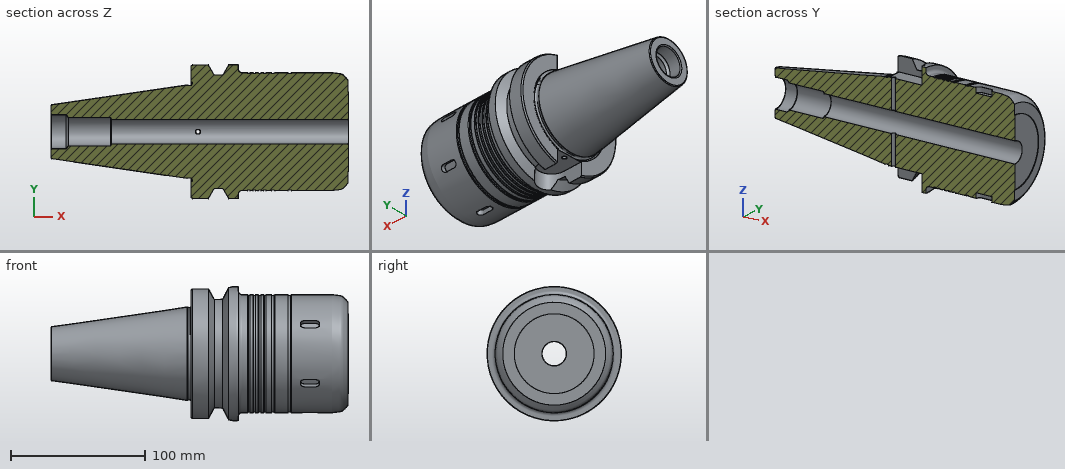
import cadquery as cq
import math

total_length = 221.8
taper_end = 101.5
flange_start = 104.2
flange_end = 139.7
nut_start = 178.5
nose_start = 209.4
nose_face = 221.4

taper_small_radius = 40.1 / 2
taper_rate = 7 / 24
taper_chamfer = 0.7
relief_radius = 69.0 / 2
relief_chamfer = 0.7
relief_fillet = 1.3

flange_radius = 100.0 / 2
flange_chamfer_length = 1.3
flange_chamfer_drop = 0.9
face_recess_radius = 37.0
face_recess_depth = 0.9
front_rim_end = 117.3
rear_rim_start = 132.5
vee_floor_radius = 42.4
vee_angle = 30.0
rear_edge_chamfer = 1.3
rear_edge_drop = 0.2

body_radius = 88.0 / 2
groove_floor_radius = 87.0 / 2
neck_fillet = 2.7
ring_groove_start = 146.4
ring_groove_pitch = 4.0
ring_groove_count = 4
ring_groove_width = 2.0
wide_groove_start = 164.4
wide_groove_width = 2.5
gap_start = 176.8
groove_flank = 0.7

nose_cone_end = 215.1
nose_cone_angle = 7.0
nose_bevel_angle = 45.0
nose_blend_radius = 4.9
nose_bevel_length = 2.0
nose_edge_angle = 50.0
pilot_radius = 29.7

slot_count = 6
slot_center = 193.0
slot_length = 14.5
slot_width = 6.2
slot_depth = 4.5

key_width = 25.7
key_floor = 35.3
key_round_end = 135.7
coolant_position = 109.5
coolant_diameter = 3.3
coolant_mouth_diameter = 4.0

through_radius = 18.0 / 2
thread_radius = 21.0 / 2
thread_mouth_radius = 24.0 / 2
pilot_bore_radius = 25.0 / 2
bore_mouth_length = 0.7
bore_mouth_growth = 1.0
pilot_bore_depth = 11.3
pilot_cone_length = 0.7
thread_chamfer_length = 1.0
thread_depth = 44.4
drill_tip_angle = 60.0


def revolve_about_x(profile):
    """Turn a closed (x, radius) profile around the X axis."""
    return profile.close().revolve(360, (0, 0, 0), (1, 0, 0))


def slope(angle):
    """Rise per unit run of a line at an angle in degrees."""
    return math.tan(math.radians(angle))


def make_shank_and_body():
    vee_run = (flange_radius - vee_floor_radius) * slope(vee_angle)
    taper_end_radius = taper_small_radius + taper_end * taper_rate / 2
    recess_floor = flange_start + face_recess_depth
    diagonal = math.sqrt(0.5)

    nose_cone_radius = body_radius - (nose_cone_end - nose_start) * slope(nose_cone_angle)
    cone = math.radians(nose_cone_angle)
    bevel = math.radians(nose_bevel_angle)
    middle = (cone + bevel) / 2
    blend_x = nose_cone_end - nose_blend_radius * math.sin(cone)
    blend_r = nose_cone_radius - nose_blend_radius * math.cos(cone)

    def blend_point(angle):
        return (
            blend_x + nose_blend_radius * math.sin(angle),
            blend_r + nose_blend_radius * math.cos(angle),
        )

    bevel_x, bevel_r = blend_point(bevel)
    bevel_end = (bevel_x + nose_bevel_length, bevel_r - nose_bevel_length)
    nose_face_radius = bevel_end[1] - (nose_face - bevel_end[0]) * slope(nose_edge_angle)

    profile = (
        cq.Workplane("XY")
        .moveTo(0, 0)
        .lineTo(0, taper_small_radius - taper_chamfer)
        .lineTo(taper_chamfer, taper_small_radius + taper_chamfer * taper_rate / 2)
        .lineTo(taper_end, taper_end_radius)
        .lineTo(taper_end + relief_chamfer, relief_radius)
        .lineTo(recess_floor - relief_fillet, relief_radius)
        .threePointArc(
            (
                recess_floor - relief_fillet * (1 - diagonal),
                relief_radius + relief_fillet * (1 - diagonal),
            ),
            (recess_floor, relief_radius + relief_fillet),
        )
        .lineTo(recess_floor, face_recess_radius)
        .lineTo(flange_start, face_recess_radius)
        .lineTo(flange_start, flange_radius - flange_chamfer_drop)
        .lineTo(flange_start + flange_chamfer_length, flange_radius)
        .lineTo(front_rim_end, flange_radius)
        .lineTo(front_rim_end + vee_run, vee_floor_radius)
        .lineTo(rear_rim_start - vee_run, vee_floor_radius)
        .lineTo(rear_rim_start, flange_radius)
        .lineTo(flange_end - rear_edge_chamfer, flange_radius)
        .lineTo(flange_end, flange_radius - rear_edge_drop)
        .lineTo(flange_end, body_radius + neck_fillet)
        .threePointArc(
            (
                flange_end + neck_fillet * (1 - diagonal),
                body_radius + neck_fillet * (1 - diagonal),
            ),
            (flange_end + neck_fillet, body_radius),
        )
        .lineTo(nose_start, body_radius)
        .lineTo(nose_cone_end, nose_cone_radius)
        .threePointArc(blend_point(middle), (bevel_x, bevel_r))
        .lineTo(*bevel_end)
        .lineTo(nose_face, nose_face_radius)
        .lineTo(nose_face, pilot_radius)
        .lineTo(total_length, pilot_radius)
        .lineTo(total_length, 0)
    )
    return revolve_about_x(profile)


def make_body_groove(points):
    """Ring-shaped cutter from the (x, radius) corners of the groove section."""
    return revolve_about_x(cq.Workplane("XY").polyline(points))


def make_bore():
    tip_length = (thread_radius - through_radius) / slope(drill_tip_angle)
    thread_mouth = pilot_bore_depth + pilot_cone_length
    profile = cq.Workplane("XY").polyline(
        [
            (0, 0),
            (0, pilot_bore_radius + bore_mouth_growth),
            (bore_mouth_length, pilot_bore_radius),
            (pilot_bore_depth, pilot_bore_radius),
            (thread_mouth, thread_mouth_radius),
            (thread_mouth + thread_chamfer_length, thread_radius),
            (thread_depth, thread_radius),
            (thread_depth + tip_length, through_radius),
            (total_length, through_radius),
            (total_length, 0),
        ]
    )
    return revolve_about_x(profile)


def make_keyway():
    """Upper keyway: open toward the shank, with a full round end."""
    round_center = key_round_end - key_width / 2
    height = flange_radius - key_floor
    straight = (
        cq.Workplane("XY", origin=(0, 0, key_floor))
        .moveTo((taper_end + round_center) / 2, 0)
        .rect(round_center - taper_end, key_width)
        .extrude(height)
    )
    round_end = (
        cq.Workplane("XY", origin=(round_center, 0, key_floor))
        .circle(key_width / 2)
        .extrude(height)
    )
    return straight.union(round_end)


def make_coolant_hole():
    """Hole from the upper keyway floor to the axis, with a chamfered mouth."""
    mouth_chamfer = (coolant_mouth_diameter - coolant_diameter) / 2
    return (
        cq.Workplane("XZ", origin=(coolant_position, 0, 0))
        .polyline(
            [
                (0, 0),
                (coolant_diameter / 2, 0),
                (coolant_diameter / 2, key_floor - mouth_chamfer),
                (coolant_mouth_diameter / 2, key_floor),
                (0, key_floor),
            ]
        )
        .close()
        .revolve(360, (0, 0, 0), (0, 1, 0))
    )


def make_wrench_slot():
    return (
        cq.Workplane("XY", origin=(slot_center, 0, body_radius - slot_depth))
        .slot2D(slot_length, slot_width)
        .extrude(2 * slot_depth)
    )


def rotate_about_x(shape, angle):
    return shape.rotate((0, 0, 0), (1, 0, 0), angle)


result = make_shank_and_body()

for index in range(ring_groove_count):
    start = ring_groove_start + index * ring_groove_pitch
    end = start + ring_groove_width
    result = result.cut(
        make_body_groove(
            [
                (start, body_radius),
                (start + groove_flank, groove_floor_radius),
                (end, groove_floor_radius),
                (end, body_radius),
            ]
        )
    )

result = result.cut(
    make_body_groove(
        [
            (wide_groove_start, body_radius),
            (wide_groove_start, groove_floor_radius),
            (wide_groove_start + wide_groove_width - groove_flank, groove_floor_radius),
            (wide_groove_start + wide_groove_width, body_radius),
        ]
    )
)

result = result.cut(
    make_body_groove(
        [
            (gap_start, body_radius),
            (gap_start, groove_floor_radius),
            (nut_start, groove_floor_radius),
            (nut_start + groove_flank, body_radius),
        ]
    )
)

result = result.cut(make_bore())

for side in (0, 180):
    result = result.cut(rotate_about_x(make_keyway(), side))
    result = result.cut(rotate_about_x(make_coolant_hole(), side))

for index in range(slot_count):
    result = result.cut(rotate_about_x(make_wrench_slot(), index * 360 / slot_count))